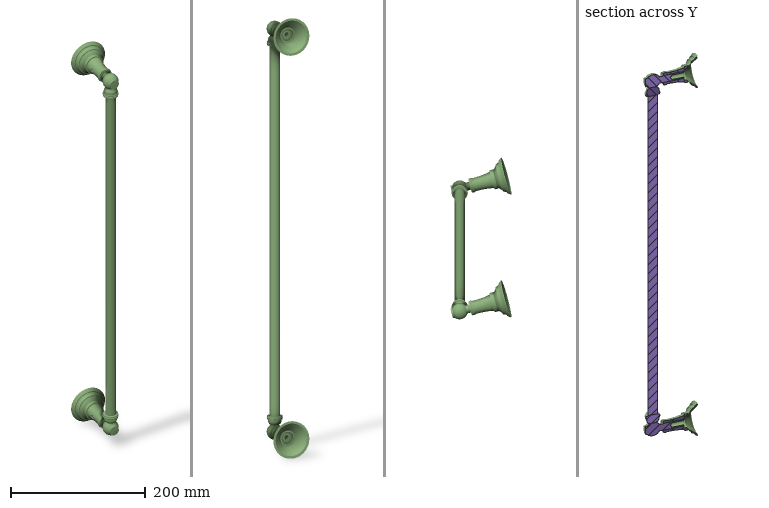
import cadquery as cq

POST_SPACING = 609.6
OVERALL_DEPTH = 83.97
BALL_RADIUS = 12.0
BEAD_RADIUS = BALL_RADIUS
BAR_AXIS_X = OVERALL_DEPTH - BALL_RADIUS
BAR_RADIUS = 15.875 / 2

RIM_RADIUS = 56.56 / 2
RIM_LIP = 1.0
STEP_HEIGHT = 1.5
LOWER_STEP_X = 5.0
LOWER_STEP_RADIUS = 25.0
UPPER_STEP_X = 10.5
UPPER_STEP_RADIUS = 21.0
BAND_START = 15.8
BAND_END = 21.5
BAND_RADIUS = 14.8
BAND_HEIGHT = 0.8
NECK_START_RADIUS = 12.8
NECK_END_RADIUS = 10.0
NECK_START_TANGENT = (4, -1)
NECK_END_TANGENT = (1, 0)
NECK_END = 49.5
ROSE_END = 55.5
END_RING_RADIUS = 10.6
END_BEAD_RADIUS = 11.2

RECESS_RADIUS = 26.5
RECESS_DEPTH = 1.0
BELL_MOUTH_RADIUS = 24.7
BELL_DEPTH = 17.0
BELL_END_RADIUS = 11.8
THROAT_RADIUS = 9.5
THROAT_DEPTH = 21.5

SCREW_X = 33.0
SCREW_RADIUS = 2.8

SHANK_RADIUS = 5.6
SHANK_BORE_RADIUS = 3.5
SHANK_BORE_DEPTH = 20.0
DRILL_TIP_LENGTH = 2.4
SHOULDER_RADIUS = 6.0
BUTTON_RADIUS = 7.5

COLLAR_START = 11.0
COLLAR_START_RADIUS = 7.0
CUP_RADIUS = 9.9
FLANGE_START = 19.0
FLANGE_END = 24.7
FLANGE_RADIUS = 11.3

BEAD_SHARE = 1 / 3


def bead_limits(start, end):
    """Start, middle and end of the half-round bead in the middle of a ring."""
    middle = (start + end) / 2
    half_width = (end - start) * BEAD_SHARE / 2
    return middle - half_width, middle, middle + half_width


def make_rose():
    """Flared hollow mount turned about X, with a set-screw hole facing -Y."""
    bead_start, bead_middle, bead_end = bead_limits(NECK_END, ROSE_END)
    profile = (
        cq.Workplane("XZ")
        .moveTo(0, RECESS_RADIUS)
        .lineTo(0, RIM_RADIUS)
        .lineTo(RIM_LIP, RIM_RADIUS)
        .lineTo(LOWER_STEP_X, LOWER_STEP_RADIUS)
        .lineTo(LOWER_STEP_X, LOWER_STEP_RADIUS - STEP_HEIGHT)
        .lineTo(UPPER_STEP_X, UPPER_STEP_RADIUS)
        .lineTo(UPPER_STEP_X, UPPER_STEP_RADIUS - STEP_HEIGHT)
        .lineTo(BAND_START, BAND_RADIUS - BAND_HEIGHT)
        .lineTo(BAND_START, BAND_RADIUS)
        .lineTo(BAND_END, BAND_RADIUS)
        .lineTo(BAND_END, NECK_START_RADIUS)
        .spline(
            [(NECK_END, NECK_END_RADIUS)],
            tangents=[NECK_START_TANGENT, NECK_END_TANGENT],
            includeCurrent=True,
        )
        .lineTo(NECK_END, END_RING_RADIUS)
        .lineTo(bead_start, END_RING_RADIUS)
        .threePointArc((bead_middle, END_BEAD_RADIUS), (bead_end, END_RING_RADIUS))
        .lineTo(ROSE_END, END_RING_RADIUS)
        .lineTo(ROSE_END, SHANK_RADIUS)
        .lineTo(THROAT_DEPTH, SHANK_RADIUS)
        .lineTo(THROAT_DEPTH, THROAT_RADIUS)
        .lineTo(BELL_DEPTH, THROAT_RADIUS)
        .lineTo(BELL_DEPTH, BELL_END_RADIUS)
        .lineTo(RECESS_DEPTH, BELL_MOUTH_RADIUS)
        .lineTo(RECESS_DEPTH, RECESS_RADIUS)
        .close()
    )
    rose = profile.revolve(360, (0, 0, 0), (1, 0, 0))
    screw_hole = cq.Workplane("XZ").center(SCREW_X, 0).circle(SCREW_RADIUS).extrude(RIM_RADIUS)
    return rose.cut(screw_hole)


def rod_along_x(start, end, radius):
    return cq.Workplane("YZ").workplane(offset=start).circle(radius).extrude(end - start)


def make_elbow():
    """Drilled shank, shoulder, ball and end button, with a flat below the ball for the collar."""
    ball = (
        cq.Workplane("XZ")
        .moveTo(BAR_AXIS_X - BALL_RADIUS, 0)
        .threePointArc((BAR_AXIS_X, BALL_RADIUS), (BAR_AXIS_X + BALL_RADIUS, 0))
        .close()
        .revolve(360, (0, 0, 0), (1, 0, 0))
    )
    elbow = (
        ball.union(rod_along_x(THROAT_DEPTH, ROSE_END, SHANK_RADIUS))
        .union(rod_along_x(ROSE_END, BAR_AXIS_X, SHOULDER_RADIUS))
        .union(rod_along_x(BAR_AXIS_X, OVERALL_DEPTH, BUTTON_RADIUS))
    )
    bore_end = THROAT_DEPTH + SHANK_BORE_DEPTH
    bore = (
        cq.Workplane("XZ")
        .moveTo(THROAT_DEPTH, 0)
        .lineTo(THROAT_DEPTH, SHANK_BORE_RADIUS)
        .lineTo(bore_end, SHANK_BORE_RADIUS)
        .lineTo(bore_end + DRILL_TIP_LENGTH, 0)
        .close()
        .revolve(360, (0, 0, 0), (1, 0, 0))
    )
    below_collar_seat = (
        cq.Workplane("XY", origin=(BAR_AXIS_X, 0, -COLLAR_START))
        .circle(BALL_RADIUS)
        .extrude(-BALL_RADIUS)
    )
    return elbow.cut(bore).cut(below_collar_seat)


def make_collar():
    """Rounded cup and beaded flange turned about the bar axis."""
    bead_start, bead_middle, bead_end = bead_limits(FLANGE_START, FLANGE_END)
    cup_middle = (COLLAR_START + FLANGE_START) / 2
    profile = (
        cq.Workplane("XZ")
        .moveTo(0, -COLLAR_START)
        .lineTo(COLLAR_START_RADIUS, -COLLAR_START)
        .threePointArc((CUP_RADIUS, -cup_middle), (CUP_RADIUS, -FLANGE_START))
        .lineTo(FLANGE_RADIUS, -FLANGE_START)
        .lineTo(FLANGE_RADIUS, -bead_start)
        .threePointArc((BEAD_RADIUS, -bead_middle), (FLANGE_RADIUS, -bead_end))
        .lineTo(FLANGE_RADIUS, -FLANGE_END)
        .lineTo(0, -FLANGE_END)
        .close()
    )
    return profile.revolve(360, (0, 0, 0), (0, 1, 0)).translate((BAR_AXIS_X, 0, 0))


def make_bar():
    """Round bar that spans the two collars."""
    half_length = POST_SPACING / 2 - FLANGE_END
    return (
        cq.Workplane("XY", origin=(BAR_AXIS_X, 0, -half_length))
        .circle(BAR_RADIUS)
        .extrude(2 * half_length)
    )


bar = make_bar()
bodies = [bar.val()]
for part in (make_rose(), make_elbow(), make_collar()):
    upper = part.translate((0, 0, POST_SPACING / 2))
    lower = upper.mirror("XY")
    bodies += [upper.val(), lower.val()]

result = cq.Compound.makeCompound(bodies)